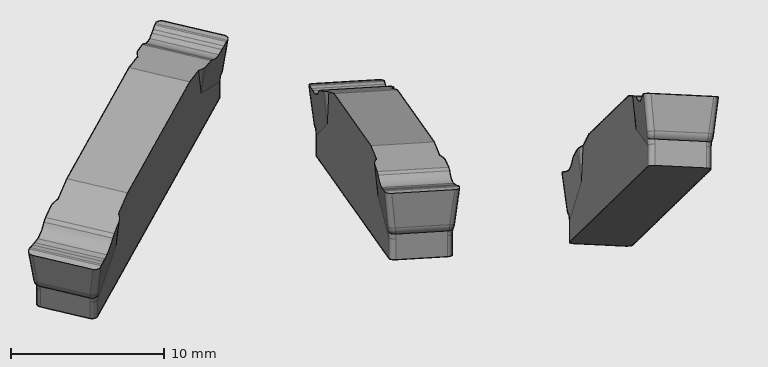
import cadquery as cq

half_length = 12.55
height = 5.98
body_half_width = 2.1
corner_radius = 0.4

edge_height = 4.7
flat_top_inset = 6.6
ramp_foot = (3.3, 5.22)
lip_foot = (3.0, 5.07)
groove_start = (1.83, 4.57)
groove_middle = (2.5, 4.75)
chip_breaker = [(1.33, 4.62), (1.0, 4.67), (0.63, 4.75), (0.48, 4.75)]
relief_foot = (0.23, 2.25)
relief_bend = (0.3, 1.95)
base_inset = 0.48
base_height = 1.75

head_width = 5.0
head_half_width = head_width / 2
widest_inset = corner_radius
flank_drop_slope = 0.11
flank_back_slope = 0.058

shoulder_apex_inset = 4.42
shoulder_top = 6.03
shoulder_arc_start = 0.15
shoulder_arc_end = -0.15
shoulder_arc_middle = 0.03
shoulder_arc_drop = 0.03
shoulder_arc_depth = 0.088
shoulder_body_run = 0.6
head_block_inset = 7.53
clearance = 1.0
blank_width = 4 * head_half_width
selection_margin = 0.03


def half_profile():
    """Half of the insert's lengthwise section, from the middle to the +Y end."""
    def at(point):
        inset, z = point
        return half_length - inset, z

    sketch = (
        cq.Workplane("YZ", origin=(-blank_width / 2, 0, 0))
        .moveTo(0, 0)
        .lineTo(0, height)
        .lineTo(*at((flat_top_inset, height)))
        .lineTo(*at(ramp_foot))
        .lineTo(*at(lip_foot))
        .threePointArc(at(groove_middle), at(groove_start))
    )
    for point in chip_breaker:
        sketch = sketch.lineTo(*at(point))
    return (
        sketch.lineTo(half_length, edge_height)
        .lineTo(*at(relief_foot))
        .threePointArc(at(relief_bend), at((base_inset, base_height)))
        .lineTo(half_length - base_inset, 0)
        .close()
        .extrude(blank_width)
    )


def flank_half_width(inset, z):
    """Half width between the flank planes at a distance from the cutting edge and a height."""
    return (
        head_half_width
        + flank_drop_slope * (z - edge_height)
        - flank_back_slope * (inset - widest_inset)
    )


def head_block():
    """Block bounded by the two flank planes."""
    sections = []
    for inset in (-clearance, head_block_inset):
        low = flank_half_width(inset, 0)
        high = flank_half_width(inset, shoulder_top)
        y = half_length - inset
        corners = [(-low, y, 0), (low, y, 0), (high, y, shoulder_top), (-high, y, shoulder_top)]
        sections.append(cq.Wire.makePolygon([cq.Vector(*c) for c in corners], close=True))
    return cq.Workplane(obj=cq.Solid.makeLoft(sections, True))


def shoulder_cutter():
    """Cone that trims the back of the +X flank, narrowing to a point on the body side."""
    apex_y = half_length - shoulder_apex_inset
    apex_z = (
        edge_height
        - (head_half_width - body_half_width) / flank_drop_slope
        + (shoulder_apex_inset - widest_inset) * flank_back_slope / flank_drop_slope
    )
    rise = shoulder_top - apex_z
    far_y = -rise * flank_drop_slope / flank_back_slope - clearance
    start_x = rise * flank_drop_slope + shoulder_arc_start * flank_back_slope
    end_x = start_x - shoulder_arc_depth
    middle_x = start_x - shoulder_arc_drop

    def section(scale):
        def point(x, y):
            return cq.Vector(body_half_width + scale * x, apex_y + scale * y, apex_z + scale * rise)

        start = point(start_x, shoulder_arc_start)
        end = point(end_x, shoulder_arc_end)
        outline = [
            end,
            point(0, -shoulder_body_run),
            point(0, far_y),
            point(start_x + clearance, far_y),
            point(start_x + clearance, shoulder_arc_start),
            start,
        ]
        edges = [cq.Edge.makeThreePointArc(start, point(middle_x, shoulder_arc_middle), end)]
        edges += [cq.Edge.makeLine(a, b) for a, b in zip(outline, outline[1:])]
        return cq.Wire.assembleEdges(edges)

    tip_scale = 0.002
    return cq.Workplane(obj=cq.Solid.makeLoft([section(tip_scale), section(1)], True))


def round_end_corners(solid):
    """Round the corner edges between the end faces and the sides."""
    corners = cq.selectors.BoxSelector(
        (-blank_width / 2, half_length - base_inset - selection_margin, -clearance),
        (blank_width / 2, half_length + clearance, edge_height - selection_margin),
    )
    return solid.edges(corners).edges("not |X").fillet(corner_radius)


profile = half_profile()
body_strip = cq.Workplane("XY").box(
    2 * body_half_width, half_length + clearance, height, centered=(True, False, False)
)
body = round_end_corners(profile.intersect(body_strip))

cutter = shoulder_cutter()
head = profile.intersect(head_block())
head = round_end_corners(head).cut(cutter).cut(cutter.mirror("YZ"))

half = body.union(head)
result = half.union(half.mirror("XZ")).clean()